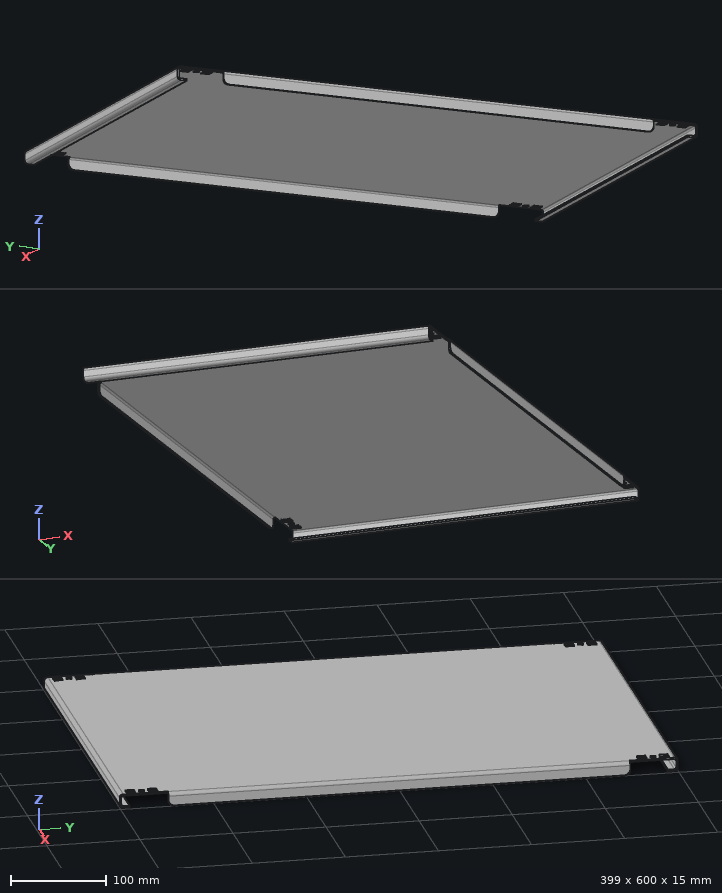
import cadquery as cq

WIDTH = 399.0
LENGTH = 600.0
HEIGHT = 15.0
SHEET = 2.0

INNER_RADIUS = SHEET
OUTER_RADIUS = INNER_RADIUS + SHEET

LIP_LENGTH = 11.0
SIDE_FLANGE_LENGTH = 496.0
FLANGE_CORNER_RADIUS = 6.0
PANEL_WIDTH = WIDTH - 2 * OUTER_RADIUS

HOLE_DIAMETER = 6.0
CUTOUT_X = 188.0
HOLE_Y = 275.0
WINDOW_WIDTH = 9.5
WINDOW_LENGTH = 9.0
WINDOW_OFFSET = 12.0


def box(size_x, size_y, bottom, top):
    """Block centred on the Z axis between two heights."""
    block = cq.Workplane("XY").box(size_x, size_y, top - bottom, centered=(True, True, False))
    return block.translate((0, 0, bottom))


def end_channels():
    """Panel with both ends folded down and then inward, open underneath."""
    outer = box(PANEL_WIDTH, LENGTH, 0, HEIGHT).edges("|X").fillet(OUTER_RADIUS)
    cavity = box(PANEL_WIDTH, LENGTH - 2 * SHEET, SHEET, HEIGHT - SHEET)
    cavity = cavity.edges("|X").fillet(INNER_RADIUS)
    opening = box(PANEL_WIDTH, LENGTH - 2 * LIP_LENGTH, 0, HEIGHT / 2)
    return outer.cut(cavity).cut(opening)


def side_flanges():
    """Middle stretch of the panel with both long sides folded down."""
    outer = box(WIDTH, SIDE_FLANGE_LENGTH, 0, HEIGHT)
    outer = outer.edges("|Y and >Z").fillet(OUTER_RADIUS)
    outer = outer.edges("|X and <Z").fillet(FLANGE_CORNER_RADIUS)
    cavity = box(WIDTH - 2 * SHEET, SIDE_FLANGE_LENGTH, 0, HEIGHT - SHEET)
    cavity = cavity.edges("|Y and >Z").fillet(INNER_RADIUS)
    return outer.cut(cavity)


def corner_cutouts():
    """Cutters through the panel only, mirrored to all four corners."""
    def at_corners(y):
        points = [(side * CUTOUT_X, end * y) for side in (-1, 1) for end in (-1, 1)]
        return cq.Workplane("XY", origin=(0, 0, HEIGHT - SHEET)).pushPoints(points)

    holes = at_corners(HOLE_Y).circle(HOLE_DIAMETER / 2).extrude(SHEET)
    outer_windows = at_corners(HOLE_Y + WINDOW_OFFSET).rect(WINDOW_WIDTH, WINDOW_LENGTH).extrude(SHEET)
    inner_windows = at_corners(HOLE_Y - WINDOW_OFFSET).rect(WINDOW_WIDTH, WINDOW_LENGTH).extrude(SHEET)
    return holes.union(outer_windows).union(inner_windows)


result = end_channels().union(side_flanges()).cut(corner_cutouts())